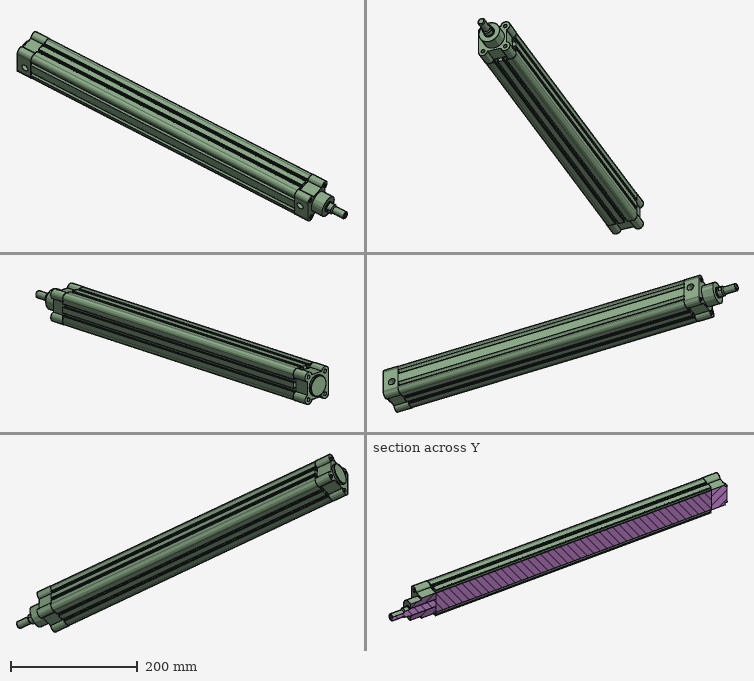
import cadquery as cq

section = 54.0
half = section / 2
barrel_section = 53.4
barrel_half = barrel_section / 2
bolt_offset = 19.0
corner_radius = half - bolt_offset

cap_length = 26.0
body_length = 555.0
barrel_length = body_length - 2 * cap_length
barrel_end = cap_length + barrel_length

recess_depth = 6.0
recess_level = half - recess_depth
screw_hole_diameter = 6.0
screw_hole_depth = 16.0
port_diameter = 11.6
port_depth = 12.0
port_from_end = 15.0
port_offset = 4.5
collar_diameter = 35.0
rear_collar_length = 4.0
collar_chamfer = 1.0
front_collar_length = 20.0
seal_lip_diameter = 17.5
seal_lip_length = 2.0

slot_center = 7.5
slot_opening = 5.2
slot_lip = 2.5
slot_undercut = 7.2
slot_depth = 6.5
slot_face_angles = (0, -90, 180)
groove_center = 12.0
groove_radius = 3.5

rod_diameter = 16.0
thread_diameter = 12.0
thread_length = 24.0
thread_chamfer = 1.5
rod_shoulder = body_length + 30.0
rod_tip = rod_shoulder + thread_length
shoulder_drop = (rod_diameter - thread_diameter) / 2
flat_width = 14.8
flat_length = 5.5

corners = [(y, z) for y in (-bolt_offset, bolt_offset) for z in (-bolt_offset, bolt_offset)]


def plane_at(x):
    """YZ plane facing +X: local x is Y and local y is Z."""
    return cq.Workplane("YZ", origin=(x, 0, 0))


def make_cap(start, outer_face, inward, port_z):
    """End cap: four round lobes, flush port face on -Y and recessed flats on the other sides."""
    cap = plane_at(start).rect(2 * recess_level, 2 * recess_level).extrude(cap_length)
    lobes = plane_at(start).pushPoints(corners).circle(corner_radius).extrude(cap_length)
    port_side = plane_at(start).center(-(half + bolt_offset) / 2, 0)
    port_side = port_side.rect(corner_radius, 2 * bolt_offset).extrude(cap_length)
    cap = cap.union(lobes).union(port_side)

    screw_holes = plane_at(outer_face).pushPoints(corners).circle(screw_hole_diameter / 2)
    cap = cap.cut(screw_holes.extrude(inward * screw_hole_depth))

    port_x = outer_face + inward * port_from_end
    port = cq.Workplane("XZ", origin=(port_x, -half, port_z)).circle(port_diameter / 2)
    return cap.cut(port.extrude(-port_depth))


def make_rear_cap():
    cap = make_cap(0, 0, 1, -port_offset)
    collar = plane_at(0).circle(collar_diameter / 2).extrude(-rear_collar_length)
    return cap.union(collar.faces("<X").chamfer(collar_chamfer))


def make_front_cap():
    cap = make_cap(barrel_end, body_length, -1, port_offset)
    collar_end = body_length + front_collar_length
    collar = plane_at(body_length).circle(collar_diameter / 2).extrude(front_collar_length)
    seal_lip = plane_at(collar_end).circle(seal_lip_diameter / 2).extrude(seal_lip_length)
    cap = cap.union(collar).union(seal_lip)
    rod_bore = plane_at(barrel_end).circle(rod_diameter / 2)
    return cap.cut(rod_bore.extrude(collar_end + seal_lip_length - barrel_end))


def make_sensor_slot(center):
    """Undercut slot in the top face of the barrel."""
    opening = plane_at(cap_length).center(center, barrel_half - slot_depth / 2).rect(slot_opening, slot_depth)
    undercut_height = slot_depth - slot_lip
    undercut = plane_at(cap_length).center(center, barrel_half - slot_depth + undercut_height / 2)
    undercut = undercut.rect(slot_undercut, undercut_height)
    return opening.extrude(barrel_length).union(undercut.extrude(barrel_length))


def make_barrel():
    barrel = plane_at(cap_length).rect(barrel_section, barrel_section).extrude(barrel_length)
    barrel = barrel.edges("|X").fillet(corner_radius)
    for center in (-slot_center, slot_center):
        slot = make_sensor_slot(center)
        for angle in slot_face_angles:
            barrel = barrel.cut(slot.rotate((0, 0, 0), (1, 0, 0), angle))
    groove_axes = [(-barrel_half, -groove_center), (-barrel_half, groove_center)]
    grooves = plane_at(cap_length).pushPoints(groove_axes)
    return barrel.cut(grooves.circle(groove_radius).extrude(barrel_length))


def make_rod():
    """Piston rod from the barrel end out through the front cap, with spanner flats on +Y and -Y."""
    profile = [
        (barrel_end, 0),
        (barrel_end, rod_diameter / 2),
        (rod_shoulder, rod_diameter / 2),
        (rod_shoulder + shoulder_drop, thread_diameter / 2),
        (rod_tip - thread_chamfer, thread_diameter / 2),
        (rod_tip, thread_diameter / 2 - thread_chamfer),
        (rod_tip, 0),
    ]
    rod = cq.Workplane("XY").polyline(profile).close().revolve(360, (0, 0, 0), (1, 0, 0))
    flats = plane_at(rod_shoulder - flat_length).rect(2 * rod_diameter, rod_diameter)
    flats = flats.rect(flat_width, rod_diameter).extrude(flat_length)
    return rod.cut(flats)


rear_cap = make_rear_cap()
barrel = make_barrel()
front_cap = make_front_cap()
rod = make_rod()

result = cq.Compound.makeCompound([rear_cap.val(), barrel.val(), front_cap.val(), rod.val()])